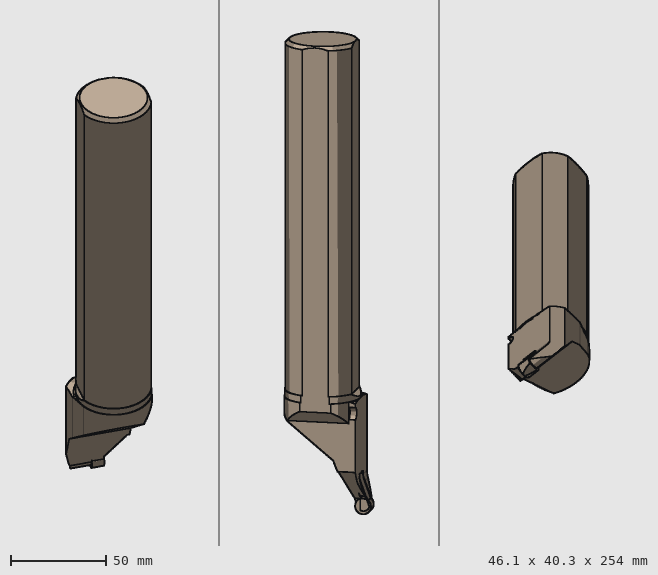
import cadquery as cq
import math


TOTAL_LENGTH = 254.0
SHANK_RADIUS = 19.8
COLLAR_RADIUS = 20.0
SHANK_CHAMFER = 2.0
FLAT_FRONT = 18.3
FLAT_REAR = 18.5
FLAT_LEFT = 17.5
FLAT_END_Z = 66.3

HEAD_TOP_Z = 62.5
HEAD_RADIUS = 20.3
LEDGE_RADIUS = 21.0
HEAD_TOP_SLOPE = 0.35
FACE_X = -20.0
FRONT_Y = -21.8
FRONT_LEFT_X = -14.0
FRONT_RIGHT_X = -2.3
TANGENT_ANGLE = math.radians(-68)
REAR_Y = 12.0
BACK_TOP = (20.3, 53.8)
BACK_BEND = (-8.1, 30.7)
BLADE_BACK_END = (-18.0, 5.5)
RELIEF_Z = 51.0
TIP_TAPER_Z = 25.0
TIP_TAPER_TILT = 9.0
FRONT_TAPER_Z = 16.8
TIP_FRONT_Y = -17.5
PORT_RADIUS = 3.3
PORT_Z = 56.5
PORT_DEPTH = 3.5
TIP_ARC_RISE = 1.0

LEAN = math.radians(20)
BLADE_START_Z = 18.3
BLADE_BLEND_RADIUS = 11.5
NOSE_RADIUS = 4.3
NOSE_X = -21.5
BLADE_NOSE_DROP = 2.5
INSERT_START_Z = 19.5
INSERT_TOP_Z = 21.8
INSERT_DEPTH = 3.3
INSERT_FRONT_Y = -6.5
INSERT_REAR_Y = 1.8
NOSE_REAR_Y = 0.3
NOSE_NECK_Z = 10.2
NOSE_NECK_DROP = 1.8
NOSE_CLEARANCE_RISE = 1.0

REACH = 76.2


def leaning_x(start_z, z):
    """X at height z on a leaning plane that meets the flat face at start_z."""
    return FACE_X - (start_z - z) * math.tan(LEAN)


def extrude_along_y(outline):
    return outline.extrude(REACH, both=True)


def extrude_along_x(outline):
    return outline.extrude(REACH, both=True)


def flat_cutter(distance, angle):
    """Shape that mills a shank flat facing -Y, turned by angle about Z."""
    cutter = (
        cq.Workplane("YZ")
        .moveTo(-distance, TOTAL_LENGTH)
        .lineTo(-distance, FLAT_END_Z)
        .lineTo(-distance - REACH, FLAT_END_Z - REACH)
        .lineTo(-distance - REACH, TOTAL_LENGTH)
        .close()
    )
    return extrude_along_x(cutter).rotate((0, 0, 0), (0, 0, 1), angle)


def make_shank():
    shank = (
        cq.Workplane("XY", origin=(0, 0, FLAT_END_Z))
        .circle(SHANK_RADIUS)
        .extrude(TOTAL_LENGTH - FLAT_END_Z)
        .faces(">Z")
        .chamfer(SHANK_CHAMFER)
    )
    collar = (
        cq.Workplane("XY", origin=(0, 0, HEAD_TOP_Z))
        .circle(COLLAR_RADIUS)
        .extrude(FLAT_END_Z - HEAD_TOP_Z)
    )
    shank = shank.union(collar)
    shank = shank.cut(flat_cutter(FLAT_FRONT, 0)).cut(flat_cutter(FLAT_LEFT, -90))
    rear = cq.Workplane("XY").box(REACH, REACH, TOTAL_LENGTH, centered=(True, False, False))
    return shank.cut(rear.translate((0, FLAT_REAR, 0)))


def head_plan():
    """Plan of the head, including the arc that the blade follows."""
    rear_half = math.sqrt(HEAD_RADIUS**2 - FLAT_REAR**2)
    wall_x = -math.sqrt(HEAD_RADIUS**2 - REAR_Y**2)
    rear_middle = math.radians(135)
    tip_x = NOSE_X - NOSE_RADIUS
    tangent = (HEAD_RADIUS * math.cos(TANGENT_ANGLE), HEAD_RADIUS * math.sin(TANGENT_ANGLE))
    return (
        cq.Workplane("XY")
        .moveTo(-rear_half, FLAT_REAR)
        .lineTo(rear_half, FLAT_REAR)
        .threePointArc((HEAD_RADIUS, 0), tangent)
        .lineTo(FRONT_RIGHT_X, FRONT_Y)
        .lineTo(FRONT_LEFT_X, FRONT_Y)
        .threePointArc((FACE_X, TIP_FRONT_Y + TIP_ARC_RISE), (tip_x, NOSE_REAR_Y))
        .lineTo(tip_x, REAR_Y)
        .lineTo(wall_x, REAR_Y)
        .threePointArc(
            (HEAD_RADIUS * math.cos(rear_middle), HEAD_RADIUS * math.sin(rear_middle)),
            (-rear_half, FLAT_REAR),
        )
        .close()
        .extrude(HEAD_TOP_Z)
    )


def head_front_profile():
    """Flat face, leaning blade with a round end, and sloped back, through Y."""
    blend = BLADE_BLEND_RADIUS * math.tan(LEAN / 2)
    blend_end_z = BLADE_START_Z - blend * math.cos(LEAN)
    blend_centre = (FACE_X - BLADE_BLEND_RADIUS, BLADE_START_Z + blend)
    blend_middle = (
        blend_centre[0] + BLADE_BLEND_RADIUS * math.cos(LEAN / 2),
        blend_centre[1] - BLADE_BLEND_RADIUS * math.sin(LEAN / 2),
    )
    nose_left = (leaning_x(BLADE_START_Z, NOSE_RADIUS), NOSE_RADIUS)
    profile = (
        cq.Workplane("XZ")
        .moveTo(FACE_X, HEAD_TOP_Z)
        .lineTo(FACE_X, BLADE_START_Z + blend)
        .threePointArc(blend_middle, (leaning_x(BLADE_START_Z, blend_end_z), blend_end_z))
        .lineTo(*nose_left)
        .threePointArc((NOSE_X, NOSE_RADIUS - BLADE_NOSE_DROP), BLADE_BACK_END)
        .lineTo(*BACK_BEND)
        .lineTo(*BACK_TOP)
        .lineTo(BACK_TOP[0], HEAD_TOP_Z)
        .close()
    )
    return extrude_along_y(profile)


def head_top_cone():
    """Envelope that slopes the head's top down outside the flat ledge."""
    edge_z = HEAD_TOP_Z - HEAD_TOP_SLOPE * (REACH - LEDGE_RADIUS)
    return (
        cq.Workplane("XZ")
        .polyline([
            (0, -REACH),
            (REACH, -REACH),
            (REACH, edge_z),
            (LEDGE_RADIUS, HEAD_TOP_Z),
            (0, HEAD_TOP_Z),
        ])
        .close()
        .revolve(360, (0, 0, 0), (0, 1, 0))
    )


def rear_relief():
    """Clears the head behind the flat face, below a 45 degree ramp."""
    return extrude_along_x(
        cq.Workplane("YZ").polyline([
            (REAR_Y, -REACH),
            (REAR_Y, RELIEF_Z),
            (REAR_Y + REACH, RELIEF_Z + REACH),
            (REAR_Y + REACH, -REACH),
        ]).close()
    )


def rear_tip_taper():
    """Narrows the blade from behind, tilted to give side clearance."""
    taper = extrude_along_x(
        cq.Workplane("YZ").polyline([
            (REACH, TIP_TAPER_Z),
            (REAR_Y, TIP_TAPER_Z),
            (NOSE_REAR_Y, NOSE_NECK_Z - NOSE_NECK_DROP),
            (NOSE_REAR_Y, -REACH),
            (REACH, -REACH),
        ]).close()
    )
    pivot = (FACE_X, NOSE_REAR_Y, 0)
    return taper.rotate(pivot, (FACE_X, NOSE_REAR_Y, 1), -TIP_TAPER_TILT)


def front_tip_taper():
    """Narrows the blade from the front."""
    return extrude_along_x(
        cq.Workplane("YZ").polyline([
            (FRONT_Y, FRONT_TAPER_Z),
            (TIP_FRONT_Y, 0),
            (FRONT_Y, 0),
        ]).close()
    )


def make_insert():
    """Leaning bar with a round nose, narrowed and relieved at the nose."""
    face_top = leaning_x(INSERT_START_Z, INSERT_TOP_Z)
    face_low = leaning_x(INSERT_START_Z, NOSE_RADIUS)
    bar = extrude_along_y(
        cq.Workplane("XZ").polyline([
            (face_top, INSERT_TOP_Z),
            (face_top + INSERT_DEPTH, INSERT_TOP_Z),
            (face_low + INSERT_DEPTH, NOSE_RADIUS),
            (face_low, NOSE_RADIUS),
        ]).close()
    )
    nose = extrude_along_y(
        cq.Workplane("XZ").center(NOSE_X, NOSE_RADIUS).circle(NOSE_RADIUS)
    )
    side = extrude_along_x(
        cq.Workplane("YZ").polyline([
            (INSERT_REAR_Y, INSERT_TOP_Z),
            (INSERT_FRONT_Y, INSERT_TOP_Z),
            (INSERT_FRONT_Y, NOSE_CLEARANCE_RISE),
            (NOSE_REAR_Y, 0),
            (NOSE_REAR_Y, NOSE_NECK_Z - NOSE_NECK_DROP),
            (INSERT_REAR_Y, NOSE_NECK_Z),
        ]).close()
    )
    return bar.union(nose).intersect(side)


def insert_slot():
    """Opens the flat face in front of the recessed upper end of the insert."""
    slot = cq.Workplane("XZ", origin=(0, INSERT_FRONT_Y, 0)).polyline([
        (leaning_x(INSERT_START_Z, INSERT_TOP_Z), INSERT_TOP_Z),
        (FACE_X - INSERT_DEPTH, INSERT_TOP_Z),
        (leaning_x(INSERT_START_Z, NOSE_NECK_Z), NOSE_NECK_Z),
    ]).close()
    return slot.extrude(INSERT_FRONT_Y - INSERT_REAR_Y)


def coolant_port():
    """Half-round port in the flat face, open at its rear edge."""
    port = cq.Workplane("YZ", origin=(FACE_X, REAR_Y, PORT_Z)).circle(PORT_RADIUS).extrude(PORT_DEPTH)
    front_half = cq.Workplane("XY").box(REACH, REACH, REACH).translate((0, REAR_Y - REACH / 2, PORT_Z))
    return port.intersect(front_half)


def make_holder(insert):
    head = head_plan().intersect(head_front_profile()).intersect(head_top_cone())
    head = head.cut(rear_relief()).cut(rear_tip_taper()).cut(front_tip_taper())
    head = head.cut(coolant_port()).cut(insert_slot())
    return make_shank().union(head).cut(insert)


insert = make_insert()
holder = make_holder(insert)

result = cq.Compound.makeCompound([holder.solids().val(), insert.solids().val()])